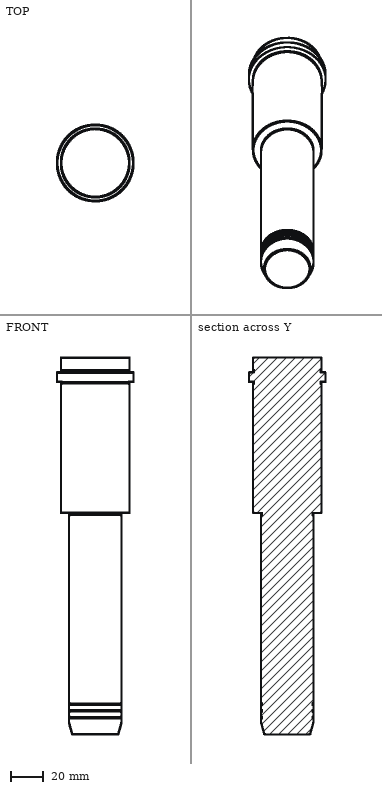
import cadquery as cq

total_length = 230.0

flange_diameter = 47.0
body_diameter = 42.0
pin_diameter = 32.2
tip_diameter = 28.0

head_length = 9.0
flange_thickness = 6.0
shoulder_depth = 95.0
tip_length = 7.4

edge_chamfer = 0.5
relief_width = 1.2
relief_depth = 0.5

groove_count = 3
groove_width = 1.0
groove_depth = 0.5
groove_pitch = 4.1
lowest_groove_height = 10.4

flange_top = total_length - head_length
flange_bottom = flange_top - flange_thickness
shoulder_height = total_length - shoulder_depth


def cylinder(diameter, bottom, top):
    """Solid cylinder on the Z axis between two heights."""
    return cq.Workplane("XY").workplane(offset=bottom).circle(diameter / 2).extrude(top - bottom)


def cut_groove(shaft, diameter, depth, bottom, width):
    """Cut a square ring groove into a shaft of the given diameter."""
    floor_radius = diameter / 2 - depth
    outer_radius = diameter / 2 + depth
    ring = (
        cq.Workplane("XY")
        .workplane(offset=bottom)
        .circle(outer_radius)
        .circle(floor_radius)
        .extrude(width)
    )
    return shaft.cut(ring)


pin = cylinder(pin_diameter, tip_length, shoulder_height)
for index in range(groove_count):
    groove_bottom = lowest_groove_height + index * groove_pitch - groove_width / 2
    pin = cut_groove(pin, pin_diameter, groove_depth, groove_bottom, groove_width)
pin = cut_groove(pin, pin_diameter, relief_depth, shoulder_height - relief_width, relief_width)

tip = (
    cq.Workplane("XY")
    .circle(tip_diameter / 2)
    .workplane(offset=tip_length)
    .circle(pin_diameter / 2)
    .loft(ruled=True)
    .faces("<Z")
    .chamfer(edge_chamfer)
)

body = cylinder(body_diameter, shoulder_height, total_length)
body = body.faces("<Z or >Z").chamfer(edge_chamfer)
for relief_bottom in (flange_bottom - relief_width, flange_top):
    body = cut_groove(body, body_diameter, relief_depth, relief_bottom, relief_width)

flange = cylinder(flange_diameter, flange_bottom, flange_top).faces(">Z").chamfer(edge_chamfer)

result = pin.union(tip).union(body).union(flange)